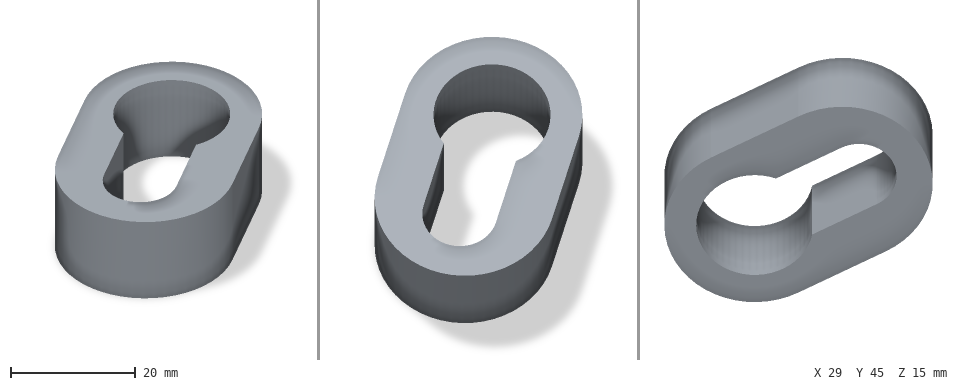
import cadquery as cq

length = 45.0
width = 29.0
height = 15.0

bore_diameter = 18.75
slot_width = 12.0
slot_end_wall = 5.4

end_center_y = (length - width) / 2
slot_end_y = -length / 2 + slot_end_wall
slot_arc_center_y = slot_end_y + slot_width / 2


def make_body():
    return cq.Workplane("XY").slot2D(length, width, angle=90).extrude(height)


def make_keyhole():
    bore = (
        cq.Workplane("XY")
        .center(0, end_center_y)
        .circle(bore_diameter / 2)
        .extrude(height)
    )
    slot = (
        cq.Workplane("XY")
        .moveTo(-slot_width / 2, end_center_y)
        .lineTo(-slot_width / 2, slot_arc_center_y)
        .threePointArc((0, slot_end_y), (slot_width / 2, slot_arc_center_y))
        .lineTo(slot_width / 2, end_center_y)
        .close()
        .extrude(height)
    )
    return bore.union(slot)


result = make_body().cut(make_keyhole())